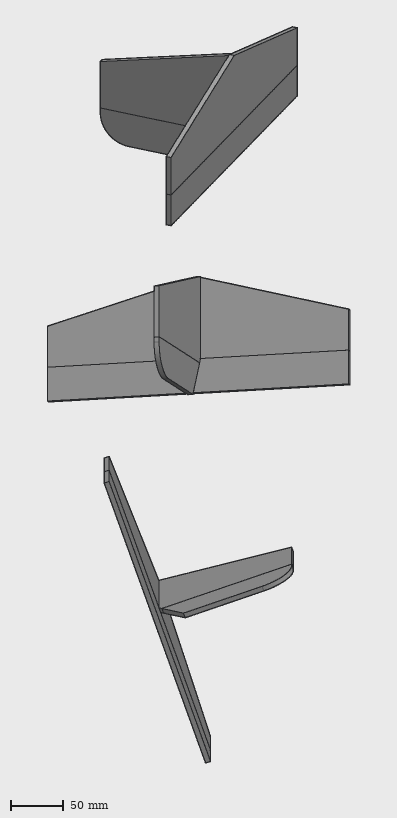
import cadquery as cq
import math

PLATE_THICKNESS = 5.0

SPAN = 300.0
TAILPLANE_TIP_DROP = 40.0
ELEVATOR_HINGE_DEPTH = 80.0
ELEVATOR_CHORD = 33.0

FIN_HEIGHT = 135.0
FIN_TIP_DROP = 35.0
RUDDER_HINGE_DEPTH = 85.0
RUDDER_END_DEPTH = 120.0
RUDDER_TIP_RADIUS = 30.0
RUDDER_EDGE_LENGTH = 110.0
FIN_OFFSET_ANGLE = 1.0

ROOT_OVERRUN = PLATE_THICKNESS / 2 * math.tan(math.radians(FIN_OFFSET_ANGLE)) * 2
TRIM_SIZE = 2 * RUDDER_END_DEPTH


def make_tailplane():
    """Plate with a peak at mid-span and a straight hinge edge."""
    half_span = SPAN / 2
    return (
        cq.Workplane("YZ")
        .polyline([
            (-half_span, -ELEVATOR_HINGE_DEPTH),
            (half_span, -ELEVATOR_HINGE_DEPTH),
            (half_span, -TAILPLANE_TIP_DROP),
            (0, 0),
            (-half_span, -TAILPLANE_TIP_DROP),
        ])
        .close()
        .extrude(PLATE_THICKNESS)
    )


def make_elevator():
    """Full-span rectangular plate directly behind the tailplane hinge edge."""
    return (
        cq.Workplane("XY")
        .box(PLATE_THICKNESS, SPAN, ELEVATOR_CHORD, centered=(False, True, False))
        .translate((0, 0, -ELEVATOR_HINGE_DEPTH - ELEVATOR_CHORD))
    )


def set_at_offset_angle(plate):
    """Turn an upright plate about its root and trim it flush with the tailplane face."""
    turned = plate.rotate((0, 0, 0), (0, 0, 1), -FIN_OFFSET_ANGLE)
    beyond_face = cq.Workplane("XY").box(TRIM_SIZE, TRIM_SIZE, 2 * TRIM_SIZE, centered=(False, True, True))
    return turned.cut(beyond_face)


def upright_plate(outline):
    """Thicken a closed XZ outline equally to both sides of Y = 0."""
    return outline.extrude(PLATE_THICKNESS / 2, both=True)


CUT_BOTTOM_X = RUDDER_EDGE_LENGTH - FIN_HEIGHT
CUT_FRACTION = (RUDDER_HINGE_DEPTH - ELEVATOR_HINGE_DEPTH) / (RUDDER_END_DEPTH - ELEVATOR_HINGE_DEPTH)
CUT_HINGE_X = CUT_BOTTOM_X * CUT_FRACTION


def make_fin():
    outline = (
        cq.Workplane("XZ")
        .polyline([
            (-FIN_HEIGHT, -RUDDER_HINGE_DEPTH),
            (-FIN_HEIGHT, -FIN_TIP_DROP),
            (0, 0),
            (ROOT_OVERRUN, 0),
            (ROOT_OVERRUN, -ELEVATOR_HINGE_DEPTH),
            (0, -ELEVATOR_HINGE_DEPTH),
            (CUT_HINGE_X, -RUDDER_HINGE_DEPTH),
        ])
        .close()
    )
    return set_at_offset_angle(upright_plate(outline))


def make_rudder():
    arc_top = -RUDDER_END_DEPTH + RUDDER_TIP_RADIUS
    outline = (
        cq.Workplane("XZ")
        .moveTo(CUT_HINGE_X, -RUDDER_HINGE_DEPTH)
        .lineTo(-FIN_HEIGHT, -RUDDER_HINGE_DEPTH)
        .lineTo(-FIN_HEIGHT, arc_top)
        .radiusArc((-FIN_HEIGHT + RUDDER_TIP_RADIUS, -RUDDER_END_DEPTH), -RUDDER_TIP_RADIUS)
        .lineTo(CUT_BOTTOM_X, -RUDDER_END_DEPTH)
        .close()
    )
    return set_at_offset_angle(upright_plate(outline))


tailplane = make_tailplane()
elevator = make_elevator()
fin = make_fin()
rudder = make_rudder()

result = cq.Compound.makeCompound([tailplane.val(), elevator.val(), fin.val(), rudder.val()])